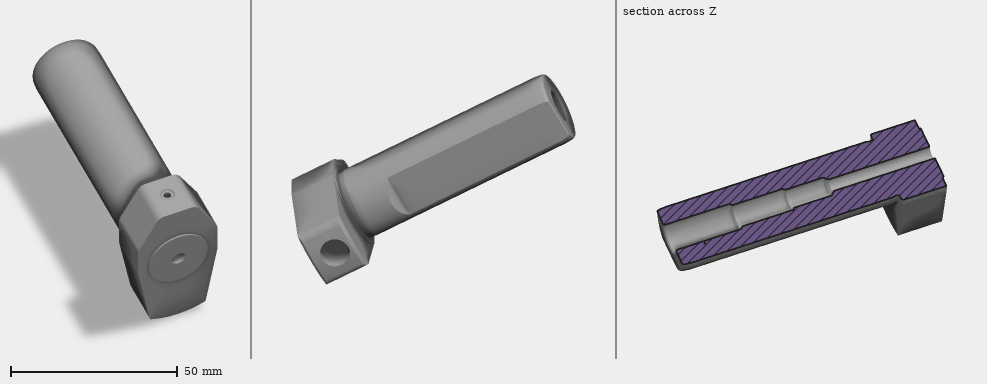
import cadquery as cq
import math

total_length = 85.0
boss_height = 0.5
head_width = 14.3
collar_height = 0.25
head_back = total_length - boss_height
head_front = head_back - head_width
collar_front = head_front - collar_height

shaft_radius = 22.0 / 2
relief_radius = 21.6 / 2
end_face_radius = 9.95
end_bevel_length = 0.2
end_bevel_radius = 10.45
end_round_mid_x = 0.7
end_round_mid_radius = 10.7
end_round_radius = 10.9
end_round_end = 1.6
end_taper_end = 3.2
neck_taper_start = 67.9
neck_taper_end = 68.7
neck_fillet = 0.4
collar_radius = 25.3 / 2
boss_radius = 19.3 / 2

flat_z = -8.5
flat_end = 55.0
flat_end_chamfer = 0.4

head_half_width = 13.0
head_top = 20.5
head_bottom_radius = 26.5
top_half_width = 6.0
shoulder_angle = math.radians(60)
taper_start_z = -2.1
taper_angle = math.radians(10)
corner_radius = 3.0
bottom_front_chamfer = 1.0
bottom_back_chamfer = 0.8

bore_mouth_radius = 10.5 / 2
bore_radius = 9.7 / 2
step_radius = 8.2 / 2
drill_radius = 6.9 / 2
through_radius = 4.3 / 2
step_depth = 21.25
drill_start = 38.25
drill_end = 51.0

hole_x = head_front + 0.45 * head_width
pin_mouth_diameter = 4.6
pin_diameter = 4.0
pin_tip_diameter = 2.3
pin_floor_depth = 0.4
pin_tip_depth = 1.7
bottom_hole_diameter = 9.0
bottom_hole_depth = 8.5


def make_shaft():
    """Revolved shaft with rounded end, lead-in taper, neck relief, collar and flat."""
    shaft = (
        cq.Workplane("XY")
        .lineTo(0, end_face_radius)
        .lineTo(end_bevel_length, end_bevel_radius)
        .threePointArc((end_round_mid_x, end_round_mid_radius), (end_round_end, end_round_radius))
        .lineTo(end_taper_end, shaft_radius)
        .lineTo(neck_taper_start, shaft_radius)
        .lineTo(neck_taper_end, relief_radius)
        .lineTo(collar_front - neck_fillet, relief_radius)
        .radiusArc((collar_front, relief_radius + neck_fillet), -neck_fillet)
        .lineTo(collar_front, collar_radius)
        .lineTo(head_front, collar_radius)
        .lineTo(head_front, 0)
        .close()
        .revolve(360, (0, 0, 0), (1, 0, 0))
    )
    flat_drop = shaft_radius + flat_z
    below_flat = (
        cq.Workplane("XZ")
        .moveTo(0, flat_z + flat_end_chamfer)
        .lineTo(flat_end_chamfer, flat_z)
        .lineTo(flat_end, flat_z)
        .lineTo(flat_end + flat_drop, -shaft_radius)
        .lineTo(0, -shaft_radius)
        .close()
        .extrude(shaft_radius, both=True)
    )
    return shaft.cut(below_flat)


def make_head():
    """Plate with a narrowed top, tapered lower sides and a round bottom about the shaft axis."""
    shoulder_z = head_top - (head_half_width - top_half_width) * math.tan(shoulder_angle)
    taper_end_y = head_half_width - (taper_start_z + head_bottom_radius) * math.tan(taper_angle)
    upper = [(top_half_width, head_top), (head_half_width, shoulder_z)]
    right_side = upper + [(head_half_width, taper_start_z), (taper_end_y, -head_bottom_radius)]
    left_side = [(-y, z) for y, z in reversed(right_side)]
    plate = (
        cq.Workplane("YZ", origin=(head_front, 0, 0))
        .polyline(right_side + left_side)
        .close()
        .extrude(head_width)
    )
    disc = cq.Workplane("YZ", origin=(head_front, 0, 0)).circle(head_bottom_radius).extrude(head_width)
    plate = plate.intersect(disc)
    for y, z in upper:
        for side in (-1, 1):
            corner = cq.selectors.NearestToPointSelector((head_front + head_width / 2, side * y, z))
            plate = plate.edges("|X").edges(corner).fillet(corner_radius)
    below_taper_start = cq.selectors.BoxSelector(
        (head_front, -head_half_width, -head_bottom_radius),
        (head_back, head_half_width, taper_start_z - corner_radius),
    )
    plate = plate.edges(below_taper_start).edges("|X").fillet(corner_radius)
    rim = disc.edges("<X").chamfer(bottom_front_chamfer)
    rim = rim.edges(">X").chamfer(bottom_back_chamfer)
    return plate.intersect(rim)


def make_bore():
    """Stepped axial bore with conical transitions, running through the whole part."""
    profile = [
        (0, 0),
        (0, bore_mouth_radius),
        (bore_mouth_radius - bore_radius, bore_radius),
        (step_depth, bore_radius),
        (step_depth + bore_radius - step_radius, step_radius),
        (drill_start, step_radius),
        (drill_start + step_radius - drill_radius, drill_radius),
        (drill_end, drill_radius),
        (drill_end + drill_radius - through_radius, through_radius),
        (total_length, through_radius),
        (total_length, 0),
    ]
    return cq.Workplane("XY").polyline(profile).close().revolve(360, (0, 0, 0), (1, 0, 0))


def make_pin_hole():
    """Shallow countersunk recess with a smaller cone-ended hole in its floor, in the top of the head."""
    mouth = pin_mouth_diameter / 2
    body = pin_diameter / 2
    tip = pin_tip_diameter / 2
    tip_end = pin_floor_depth + pin_tip_depth
    profile = [
        (0, 0),
        (mouth, 0),
        (body, body - mouth),
        (body, -pin_floor_depth),
        (tip, -pin_floor_depth),
        (tip, -tip_end),
        (0, -tip_end - tip),
    ]
    return (
        cq.Workplane("XZ", origin=(hole_x, 0, head_top))
        .polyline(profile)
        .close()
        .revolve(360, (0, 0, 0), (0, 1, 0))
    )


def make_bottom_hole():
    """Blind hole in the round underside of the head."""
    return (
        cq.Workplane("XY", origin=(hole_x, 0, -head_bottom_radius))
        .circle(bottom_hole_diameter / 2)
        .extrude(bottom_hole_depth)
    )


boss = cq.Workplane("YZ", origin=(head_back, 0, 0)).circle(boss_radius).extrude(boss_height)

result = make_shaft().union(make_head()).union(boss)
result = result.cut(make_bore()).cut(make_pin_hole()).cut(make_bottom_hole())